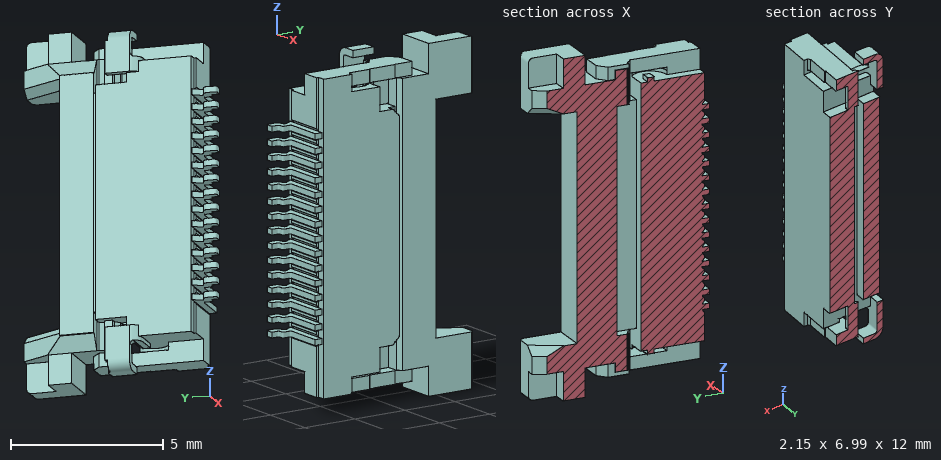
import cadquery as cq


cover_x = -0.94
back_x = 1.08
tail_y = -2.6
land_y = -2.69
land_x0, land_x1 = -0.67, 0.79
cover_top_y = 0.72
cover_end_z = 4.7
notch_z = 4.01
notch_y = -0.36
cover_lip_x = -0.9
cover_lip_z = 3.75
slot_x0, slot_x1 = -0.26, 0.08
housing_end_z = 5.44
back_lip_y = 0.43
back_lip_chamfer = 0.26

arm_x = 0.8
arm_tip_y = 1.12
arm_tip_chamfer_y = 0.83
arm_inner_z = 4.97
hook_x = -0.24
hook_y = 0.06
hook_slope_x0, hook_slope_x1 = -0.12, 0.04
hook_root_y = -0.11
hook_back_x = 0.36
post_x = -0.68
post_end_z = 5.29
post_slope_x0, post_slope_x1 = -0.48, -0.31
post_y = 0.2
post_top_y = 0.58

recess_x = 0.83
recess_tail_x = 0.86
recess_y = -1.48
recess_step_y = -0.6
recess_corner = 0.07
relief_z = 4.85
pocket_radius = 0.61

slider_front_x = -0.56
slider_back_x = 0.97
slider_mouth_y = 1.97
slider_step_y = 0.79
slider_tail_y = 0.49
slider_tail_chamfer_x = 0.17
slider_tail_chamfer_y = 0.13
tongue_chamfer_x = 0.08
tongue_chamfer_y = 0.23
panel_end_z = 4.44
panel_ledge_x = -0.85
slider_end_z = arm_inner_z

ear_tip_y = 3.5
ear_tip_x = -0.02
ear_inner_z = 4.05
ear_inner_bevel = 0.29
ear_end_z = 6.0
ear_root_y = 1.67
ear_notch_x = 0.24
ear_notch_y = 2.47
ear_corner_chamfer = 0.12
ear_end_fillet = 0.18

clip_x = -1.07
clip_thickness = 0.25
clip_y0, clip_y1 = -0.5, 0.35
clip_bottom_z = 4.33
clip_top_z = 5.82
clip_tab_x = slot_x0
clip_foot_y = -0.6
clip_inner_radius = 0.11
clip_outer_radius = clip_inner_radius + clip_thickness
clip_shoulder = 0.11
clip_nick_y = 0.26
clip_nick_z = 5.46
clip_nick_slope_x = 0.1

contact_count = 15
contact_row_length = 7.0
contact_pitch = contact_row_length / (contact_count - 1)
contact_width = 0.2
groove_mouth = 0.41
contact_back_x = 0.97
contact_bar_y = -2.87
contact_root_x = -0.86
contact_neck_x, contact_neck_y = -0.71, -2.85
neck_bend_middle = (-0.7, -2.93)
neck_bend_end = (-0.75, -2.98)
shoulder_start = (-0.86, -3.01)
shoulder_middle = (-0.94, -3.07)
contact_foot_x = -0.96
shoulder_end_y = -3.17
foot_end_y = -3.49
foot_fillet = 0.07
foot_heel_x = -0.64
contact_knee_x, contact_knee_y = -0.42, -3.2
knee_radius = 0.06


def box(x0, x1, y0, y1, z0, z1):
    return cq.Workplane("XY").box(x1 - x0, y1 - y0, z1 - z0, centered=False).translate((x0, y0, z0))


def prism(points, z0, z1):
    """Extrude an XY outline from z0 to z1."""
    return cq.Workplane("XY").workplane(offset=z0).polyline(points).close().extrude(z1 - z0)


def both_ends(solid):
    return solid.union(solid.mirror("XY"))


def make_housing():
    cover = box(cover_x, slot_x1, tail_y, cover_top_y, -cover_end_z, cover_end_z)
    slot = box(slot_x0, slot_x1, notch_y, cover_top_y, -cover_end_z, cover_end_z)
    notch = box(cover_x, slot_x1, notch_y, cover_top_y, notch_z, cover_end_z)
    lip = box(cover_lip_x, slider_front_x, cover_top_y, slider_step_y, -cover_lip_z, cover_lip_z)
    cover = cover.cut(slot).cut(both_ends(notch)).union(lip)

    back_outline = [
        (slot_x1, tail_y), (back_x, tail_y), (back_x, back_lip_y), (slot_x1, back_lip_y),
    ]
    back = prism(back_outline, -housing_end_z, housing_end_z)
    inner = box(land_x0, slot_x1, land_y, tail_y, -cover_end_z, cover_end_z)
    inner = inner.union(box(slot_x1, land_x1, land_y, tail_y, -housing_end_z, housing_end_z))
    return cover.union(back).union(inner)


def make_end_cuts():
    recess_outline = [
        (recess_x, back_lip_y), (recess_x, recess_step_y), (recess_tail_x, recess_step_y),
        (recess_tail_x, recess_y + recess_corner), (recess_tail_x + recess_corner, recess_y),
        (back_x, recess_y), (back_x, back_lip_y),
    ]
    recess = prism(recess_outline, relief_z, housing_end_z)
    step = box(recess_x, back_x, notch_y, back_lip_y, notch_z, housing_end_z)
    window = box(slot_x1, back_x, notch_y, hook_root_y, notch_z, arm_inner_z)
    behind_hook = box(hook_back_x, back_x, hook_root_y, back_lip_y, notch_z, arm_inner_z)
    relief = box(slot_x1, back_x, recess_y, notch_y, relief_z, arm_inner_z)
    pocket = (
        cq.Workplane("XY", origin=(slot_x1, recess_y + pocket_radius, cover_end_z))
        .circle(pocket_radius).extrude(arm_inner_z - cover_end_z)
    )
    lip = (
        cq.Workplane("YZ").workplane(offset=recess_x)
        .moveTo(back_lip_y, notch_z).lineTo(back_lip_y - back_lip_chamfer, notch_z)
        .lineTo(back_lip_y, notch_z - back_lip_chamfer).close().extrude(back_x - recess_x)
    )
    openings = window.union(behind_hook).union(relief).union(pocket)
    return both_ends(openings.union(recess).union(step).union(lip))


def make_arms():
    arm_outline = [
        (arm_x, hook_root_y), (arm_x, arm_tip_y), (slot_x1, arm_tip_y),
        (hook_x, arm_tip_chamfer_y), (hook_x, hook_y), (hook_slope_x0, hook_y),
        (hook_slope_x1, hook_root_y),
    ]
    post_outline = [
        (hook_x, hook_y), (hook_x, post_top_y), (post_slope_x0, slider_tail_y),
        (post_x, slider_tail_y), (post_x, post_y),
        (post_slope_x0, post_y), (post_slope_x1, hook_y),
    ]
    arm = prism(arm_outline, notch_z, housing_end_z)
    arm = arm.cut(box(hook_back_x, arm_x, hook_root_y, slider_tail_y, notch_z, arm_inner_z))
    post = prism(post_outline, notch_z, post_end_z)
    return both_ends(arm.union(post))


def make_slider():
    core_outline = [
        (slider_front_x, slider_mouth_y), (slider_back_x, slider_mouth_y),
        (slider_back_x, slider_tail_y + slider_tail_chamfer_y),
        (slider_back_x - slider_tail_chamfer_x, slider_tail_y),
        (slider_front_x + tongue_chamfer_x, slider_tail_y),
        (slider_front_x, slider_tail_y + tongue_chamfer_y),
    ]
    core = prism(core_outline, -slider_end_z, slider_end_z)
    panel_outline = [
        (slider_front_x, slider_end_z), (panel_ledge_x, panel_end_z), (cover_x, panel_end_z),
        (cover_x, -panel_end_z), (panel_ledge_x, -panel_end_z), (slider_front_x, -slider_end_z),
    ]
    panel = (
        cq.Workplane("XZ", origin=(0, slider_mouth_y, 0))
        .polyline(panel_outline).close().extrude(slider_mouth_y - slider_step_y)
    )
    return core.union(panel).union(both_ends(make_ear()))


def make_ear():
    """Grip ear at the +Z end: a wedge reaching past the mouth, with an L-shaped end block."""
    wedge_outline = [
        (panel_ledge_x, slider_mouth_y), (slider_back_x, slider_mouth_y),
        (slider_back_x, ear_tip_y), (ear_tip_x, ear_tip_y),
    ]
    wedge = prism(wedge_outline, ear_inner_z, slider_end_z)
    wedge = wedge.faces("<(2,-1,0)").edges("<Z").chamfer(ear_inner_bevel)
    end_slope = (
        cq.Workplane("XZ", origin=(0, ear_tip_y, 0))
        .moveTo(slider_front_x, slider_end_z).lineTo(panel_ledge_x, panel_end_z)
        .lineTo(panel_ledge_x, slider_end_z).close().extrude(ear_tip_y - slider_mouth_y)
    )
    wedge = wedge.cut(end_slope)

    block_outline = [
        (slider_front_x, ear_root_y), (slider_back_x, ear_root_y), (slider_back_x, ear_tip_y),
        (ear_notch_x, ear_tip_y), (ear_notch_x, ear_notch_y), (slider_front_x, ear_notch_y),
    ]
    block = prism(block_outline, slider_end_z, ear_end_z)
    block = block.faces(">Y").edges(">Z").fillet(ear_end_fillet)
    ear = wedge.union(block)
    corner = prism(
        [
            (slider_back_x, ear_tip_y), (slider_back_x - ear_corner_chamfer, ear_tip_y),
            (slider_back_x, ear_tip_y - ear_corner_chamfer),
        ],
        ear_inner_z, ear_end_z,
    )
    return ear.cut(corner)


def make_clips():
    inner_x = clip_x + clip_thickness
    bend_x = clip_x + clip_outer_radius
    tab_inner_z = clip_top_z - clip_thickness
    strap = (
        cq.Workplane("XZ", origin=(0, clip_y1, 0))
        .moveTo(clip_x, clip_bottom_z)
        .lineTo(clip_x, clip_top_z - clip_outer_radius)
        .radiusArc((bend_x, clip_top_z), clip_outer_radius)
        .lineTo(clip_tab_x, clip_top_z)
        .lineTo(clip_tab_x, tab_inner_z)
        .lineTo(bend_x, tab_inner_z)
        .radiusArc((inner_x, tab_inner_z - clip_inner_radius), -clip_inner_radius)
        .lineTo(inner_x, clip_bottom_z)
        .close().extrude(clip_y1 - clip_y0)
    )
    nick_outline = [
        (clip_x, clip_y1), (bend_x, clip_y1), (bend_x - clip_nick_slope_x, clip_nick_y),
        (clip_x, clip_nick_y),
    ]
    strap = strap.cut(prism(nick_outline, clip_nick_z, clip_top_z))

    foot_outer_y = clip_foot_y - clip_thickness
    foot = (
        cq.Workplane("XY").workplane(offset=clip_bottom_z)
        .moveTo(clip_x, clip_y1)
        .lineTo(clip_x, foot_outer_y + clip_outer_radius)
        .radiusArc((bend_x, foot_outer_y), -clip_outer_radius)
        .lineTo(slot_x1, foot_outer_y)
        .lineTo(slot_x1, clip_foot_y)
        .lineTo(bend_x, clip_foot_y)
        .radiusArc((inner_x, clip_foot_y + clip_inner_radius), clip_inner_radius)
        .lineTo(inner_x, clip_y1)
        .close().extrude(relief_z + clip_shoulder - clip_bottom_z)
    )
    foot_side = (
        cq.Workplane("YZ").workplane(offset=clip_x)
        .moveTo(clip_y1, clip_bottom_z)
        .lineTo(clip_y1, relief_z + clip_shoulder)
        .lineTo(clip_y0, relief_z + clip_shoulder)
        .lineTo(clip_y0 - clip_shoulder, relief_z)
        .lineTo(foot_outer_y, relief_z)
        .lineTo(foot_outer_y, clip_bottom_z)
        .close().extrude(slot_x1 - clip_x)
    )
    return both_ends(strap.union(foot.intersect(foot_side)))


def contact_centres():
    middle = (contact_count - 1) / 2
    return [(i - middle) * contact_pitch for i in range(contact_count)]


def make_grooves():
    """Flared grooves in the tail face, one around each contact."""
    grooves = cq.Workplane("YZ").workplane(offset=land_x0)
    for z in contact_centres():
        grooves = grooves.polyline([
            (land_y, z - groove_mouth / 2), (tail_y, z - contact_width / 2),
            (tail_y, z + contact_width / 2), (land_y, z + groove_mouth / 2),
        ]).close()
    return grooves.extrude(land_x1 - land_x0)


def make_contacts():
    """Bent contact legs ending in solder feet."""
    leg = (
        cq.Workplane("XY").workplane(offset=-contact_width / 2)
        .moveTo(contact_back_x, tail_y)
        .lineTo(contact_root_x, tail_y)
        .lineTo(contact_neck_x, contact_neck_y)
        .threePointArc(neck_bend_middle, neck_bend_end)
        .lineTo(*shoulder_start)
        .threePointArc(shoulder_middle, (contact_foot_x, shoulder_end_y))
        .lineTo(contact_foot_x, foot_end_y + foot_fillet)
        .radiusArc((contact_foot_x + foot_fillet, foot_end_y), -foot_fillet)
        .lineTo(foot_heel_x, foot_end_y)
        .lineTo(foot_heel_x, contact_knee_y - knee_radius)
        .radiusArc((foot_heel_x + knee_radius, contact_knee_y), knee_radius)
        .lineTo(contact_knee_x - knee_radius, contact_knee_y)
        .radiusArc((contact_knee_x, contact_knee_y + knee_radius), -knee_radius)
        .lineTo(contact_knee_x, contact_bar_y - knee_radius)
        .radiusArc((contact_knee_x + knee_radius, contact_bar_y), knee_radius)
        .lineTo(contact_back_x, contact_bar_y)
        .close().extrude(contact_width)
    )
    legs = cq.Workplane("XY")
    for z in contact_centres():
        legs = legs.add(leg.translate((0, 0, z)))
    return legs.combine()


housing = make_housing().cut(make_end_cuts()).cut(make_grooves())
result = housing.union(make_arms()).union(make_slider()).union(make_clips()).union(make_contacts())